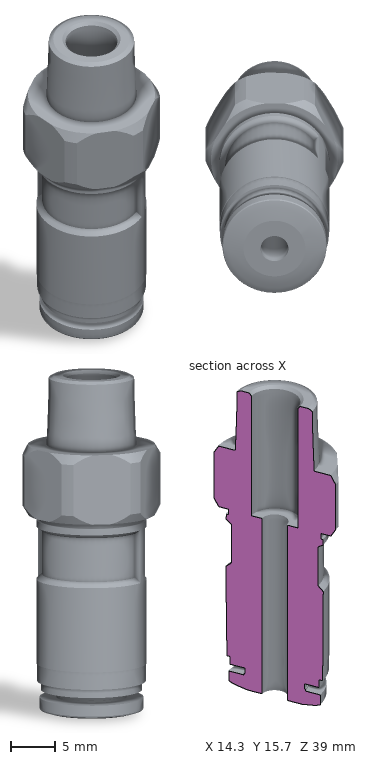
import cadquery as cq

total_height = 39.0
rim_low_z = 0.5
rim_high_z = 0.65
ring_top_z = 1.9
neck_step_z = 2.15
neck_top_z = 2.75
end_cap_top_z = 3.8
band_top_z = 5.8
groove_low_z = 15.52
groove_high_z = 21.6
collar_top_z = 22.35
hex_low_z = 23.0
hex_high_z = 31.0

ring_radius = 11.8 / 2
rim_bevel = 0.08
ring_face_radius = 3.5
dome_mid_radius = 4.75
dome_mid_z = 0.2
neck_radius = 7.75 / 2
neck_step_radius = 7.95 / 2

end_cap_radius = 11.5 / 2
band_radius = 12.35 / 2
body_radius = 12.5 / 2
shoulder_radius = 11.9 / 2
groove_radius = 11.25 / 2
groove_low_bevel = 0.6
groove_high_bevel = 0.43
web_width = 1.52

hex_sides = 6
hex_flats = 14.27
hex_corner_diameter = 15.7
hex_face_radius = 7.2
hex_bevel_height = 1.05

thread_base_radius = 10.2 / 2
thread_end_radius = 9.7 / 2
thread_face_radius = 8.7 / 2
thread_bevel_height = 0.27

through_diameter = 3.15
bore_radius = 5.9 / 2
countersink_radius = 6.6 / 2


def turn(profile):
    """Revolve a closed radius-height profile around the Z axis."""
    return profile.close().revolve(360, (0, 0, 0), (0, 1, 0))


def make_lower_body():
    """Domed release ring, neck and stepped cylindrical body."""
    return turn(
        cq.Workplane("XZ")
        .lineTo(ring_face_radius, 0)
        .threePointArc((dome_mid_radius, dome_mid_z), (ring_radius - rim_bevel, rim_low_z))
        .lineTo(ring_radius, rim_high_z)
        .lineTo(ring_radius, ring_top_z)
        .lineTo(neck_step_radius, ring_top_z)
        .lineTo(neck_step_radius, neck_step_z)
        .lineTo(neck_radius, neck_step_z)
        .lineTo(neck_radius, neck_top_z)
        .lineTo(end_cap_radius, neck_top_z)
        .lineTo(end_cap_radius, end_cap_top_z)
        .lineTo(band_radius, end_cap_top_z)
        .lineTo(band_radius, band_top_z)
        .lineTo(body_radius, band_top_z)
        .lineTo(body_radius, collar_top_z)
        .lineTo(shoulder_radius, collar_top_z)
        .lineTo(shoulder_radius, hex_low_z)
        .lineTo(0, hex_low_z)
    )


def make_groove():
    """Bevelled ring groove, interrupted by a full-height web on each X side."""
    groove = turn(
        cq.Workplane("XZ")
        .moveTo(body_radius, groove_low_z)
        .lineTo(groove_radius, groove_low_z + groove_low_bevel)
        .lineTo(groove_radius, groove_high_z - groove_high_bevel)
        .lineTo(body_radius, groove_high_z)
    )
    webs = cq.Workplane("XY").box(2 * hex_flats, web_width, 2 * total_height)
    return groove.cut(webs)


def make_hex():
    """Hexagon with rounded corners and conical bevels at both ends."""
    hexagon = (
        cq.Workplane("XY", origin=(0, 0, hex_low_z))
        .polygon(hex_sides, hex_flats, circumscribed=True)
        .extrude(hex_high_z - hex_low_z)
    )
    corner_radius = hex_corner_diameter / 2
    envelope = turn(
        cq.Workplane("XZ")
        .moveTo(0, hex_low_z)
        .lineTo(hex_face_radius, hex_low_z)
        .lineTo(corner_radius, hex_low_z + hex_bevel_height)
        .lineTo(corner_radius, hex_high_z - hex_bevel_height)
        .lineTo(hex_face_radius, hex_high_z)
        .lineTo(0, hex_high_z)
    )
    return hexagon.intersect(envelope)


def make_thread():
    """Smooth taper with a bevelled end."""
    return turn(
        cq.Workplane("XZ")
        .moveTo(0, hex_high_z)
        .lineTo(thread_base_radius, hex_high_z)
        .lineTo(thread_end_radius, total_height - thread_bevel_height)
        .lineTo(thread_face_radius, total_height)
        .lineTo(0, total_height)
    )


def make_bores():
    """Through hole, with a countersunk wide bore from the top to the hexagon base."""
    through_hole = cq.Workplane("XY").circle(through_diameter / 2).extrude(total_height)
    countersink_depth = countersink_radius - bore_radius
    wide_bore = turn(
        cq.Workplane("XZ")
        .moveTo(0, hex_low_z)
        .lineTo(bore_radius, hex_low_z)
        .lineTo(bore_radius, total_height - countersink_depth)
        .lineTo(countersink_radius, total_height)
        .lineTo(0, total_height)
    )
    return through_hole.union(wide_bore)


lower_body = make_lower_body().cut(make_groove())
result = lower_body.union(make_hex()).union(make_thread()).cut(make_bores())